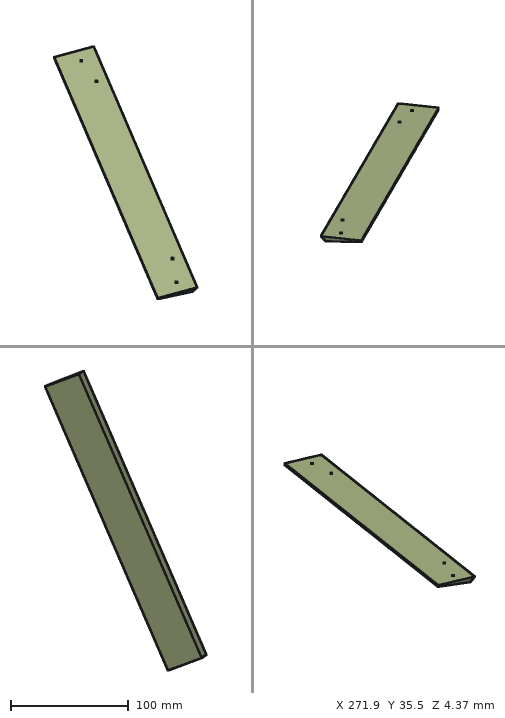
import cadquery as cq

length = 271.9
width = 35.53
thickness = 4.37

front_edge_height = 1.6
back_bevel_run = thickness

hole_diameter = 1.62
hole_depth = 2.0
outer_hole_x = 125.0
outer_hole_setback = 15.0
inner_hole_x = 100.0
inner_hole_setback = 10.0

front_y = -width / 2
back_y = width / 2


def wedge_strip():
    """Tapered cross-section in the YZ plane, extruded along X; the top face lies at Z = 0."""
    profile = [
        (front_y, 0),
        (back_y, 0),
        (back_y - back_bevel_run, -thickness),
        (front_y, -front_edge_height),
    ]
    return cq.Workplane("YZ").polyline(profile).close().extrude(length / 2, both=True)


def pin_holes():
    """Vertical cutters for the four blind holes."""
    centers = []
    for side in (-1, 1):
        centers.append((side * outer_hole_x, back_y - outer_hole_setback))
        centers.append((side * inner_hole_x, back_y - inner_hole_setback))
    return cq.Workplane("XY").pushPoints(centers).circle(hole_diameter / 2).extrude(-hole_depth)


result = wedge_strip().cut(pin_holes())